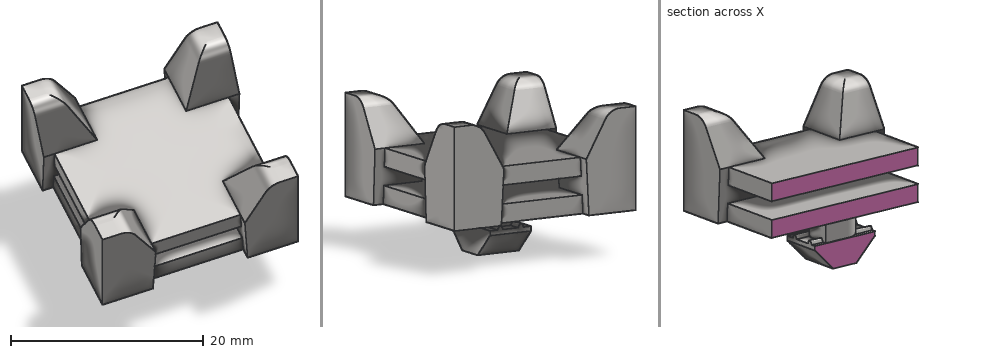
import cadquery as cq
import math

plate_width = 19.6
plate_thickness = 2.0
plate_gap = 2.0
upper_plate_bottom = plate_thickness + plate_gap
upper_plate_top = upper_plate_bottom + plate_thickness

overall_width = 22.0
post_height = 11.0
post_shoulder_width = 6.0
post_draft_angle = 3.0
post_slope_angle = 60.0
post_top_radius = 2.0
post_base_width = post_shoulder_width - upper_plate_top * math.tan(math.radians(post_draft_angle))
slope_run = (post_height - upper_plate_top) / math.tan(math.radians(post_slope_angle))
post_tip_width = post_shoulder_width - slope_run

stem_width = 4.0
stem_length = 5.1
stem_height = 2.0
stem_corner_radius = stem_width / 2
head_width = 5.0
head_length = 8.1
head_height = 3.0
head_rim_height = 0.5
head_bottom = -stem_height - head_height
head_tip_length = head_length - 2 * (head_height - head_rim_height)
ridge_height = 0.4
ridge_tip_radius = 0.2
ridge_flank_angle = 60.0
ridge_spacing = 2.5


def make_plate(bottom):
    plate = cq.Workplane("XY").box(plate_width, plate_width, plate_thickness, centered=(True, True, False))
    return plate.translate((0, 0, bottom))


def post_prism(plane):
    """Post profile with its outer edge on the plane's origin, extruded along the plane's normal."""
    slope_angle = math.radians(post_slope_angle)
    tangent_length = post_top_radius * math.tan(slope_angle / 2)
    arc_start = post_tip_width - tangent_length
    arc_center_height = post_height - post_top_radius
    arc_middle = (
        arc_start + post_top_radius * math.sin(slope_angle / 2),
        arc_center_height + post_top_radius * math.cos(slope_angle / 2),
    )
    arc_end = (
        arc_start + post_top_radius * math.sin(slope_angle),
        arc_center_height + post_top_radius * math.cos(slope_angle),
    )
    return (
        cq.Workplane(plane)
        .lineTo(post_base_width, 0)
        .lineTo(post_shoulder_width, upper_plate_top)
        .lineTo(*arc_end)
        .threePointArc(arc_middle, (arc_start, post_height))
        .lineTo(0, post_height)
        .close()
        .extrude(post_shoulder_width)
    )


def make_post():
    """Post in the -X, -Y corner: the same profile along X and along Y, intersected."""
    corner = (-overall_width / 2, -overall_width / 2, 0)
    along_x = post_prism(cq.Plane(origin=corner, xDir=(1, 0, 0), normal=(0, -1, 0)))
    along_x = along_x.translate((0, post_shoulder_width, 0))
    along_y = post_prism(cq.Plane(origin=corner, xDir=(0, 1, 0), normal=(1, 0, 0)))
    return along_x.intersect(along_y)


def make_stem():
    """Rectangular stem with two opposite corners rounded so that it can turn in a slot."""
    stem = cq.Workplane("XY").box(stem_width, stem_length, stem_height, centered=(True, True, False))
    stem = stem.translate((0, 0, -stem_height))
    for corner in ("<XY", ">XY"):
        stem = stem.edges("|Z").edges(corner).fillet(stem_corner_radius)
    return stem


def make_ridge(x_center):
    """Straight ridge along Y on top of the head, with sloped flanks and a rounded tip."""
    flank_angle = math.radians(ridge_flank_angle)
    tip_center_height = ridge_height - ridge_tip_radius
    tangent_half_width = ridge_tip_radius * math.sin(flank_angle)
    tangent_height = tip_center_height + ridge_tip_radius * math.cos(flank_angle)
    base_half_width = tangent_half_width + tangent_height / math.tan(flank_angle)
    ridge = (
        cq.Workplane("XZ")
        .moveTo(-base_half_width, 0)
        .lineTo(-tangent_half_width, tangent_height)
        .threePointArc((0, ridge_height), (tangent_half_width, tangent_height))
        .lineTo(base_half_width, 0)
        .close()
        .extrude(head_length / 2, both=True)
    )
    return ridge.translate((x_center, 0, -stem_height))


def make_head():
    """Wedge with a straight rim and 45 degree flanks, carrying two grip ridges."""
    head = (
        cq.Workplane("YZ")
        .moveTo(-head_length / 2, -stem_height)
        .lineTo(head_length / 2, -stem_height)
        .lineTo(head_length / 2, -stem_height - head_rim_height)
        .lineTo(head_tip_length / 2, head_bottom)
        .lineTo(-head_tip_length / 2, head_bottom)
        .lineTo(-head_length / 2, -stem_height - head_rim_height)
        .close()
        .extrude(head_width / 2, both=True)
    )
    for side in (-1, 1):
        head = head.union(make_ridge(side * ridge_spacing / 2))
    return head


result = make_plate(0).union(make_plate(upper_plate_bottom))
for quarter_turn in range(4):
    result = result.union(make_post().rotate((0, 0, 0), (0, 0, 1), 90 * quarter_turn))
result = result.union(make_stem()).union(make_head())